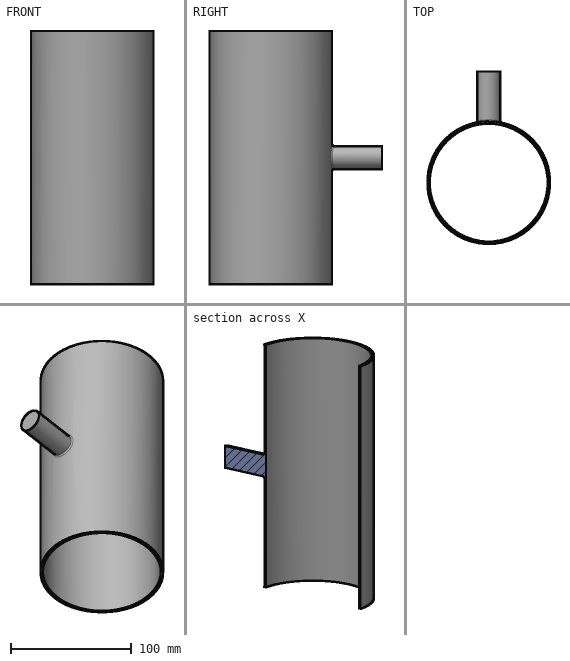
import cadquery as cq

tube_length = 209.5
tube_diameter = 101.7
tube_wall = 2.0
tube_radius = tube_diameter / 2
bore_radius = tube_radius - tube_wall

overall_depth = 143.0
peg_diameter = 19.3
peg_end = overall_depth - tube_radius
joint_fillet = 1.3


def upright_cylinder(radius):
    """Cylinder as long as the main tube, centred on the origin."""
    return cq.Workplane("XY").cylinder(tube_length, radius)


peg = cq.Workplane("XZ").circle(peg_diameter / 2).extrude(-peg_end)
body = upright_cylinder(tube_radius).union(peg)

joint_box = cq.selectors.BoxSelector(
    (-peg_diameter, bore_radius, -peg_diameter),
    (peg_diameter, tube_radius + tube_wall, peg_diameter),
)
body = body.edges(joint_box).fillet(joint_fillet)

result = body.cut(upright_cylinder(bore_radius))